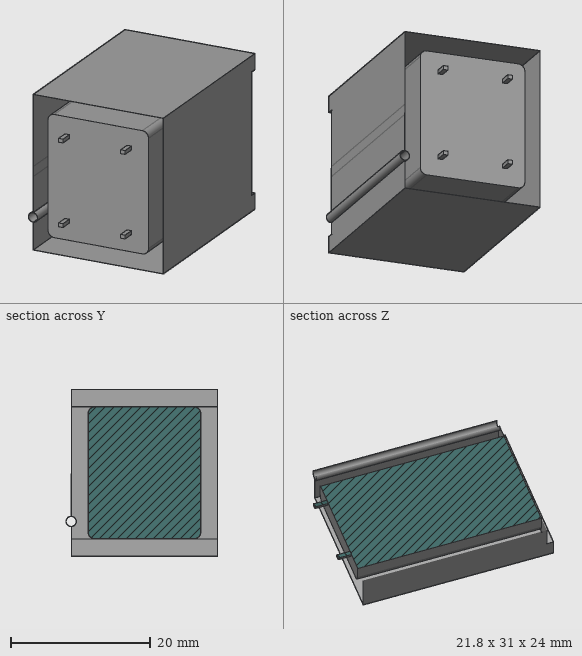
import cadquery as cq

CASE_WIDTH = 21.0
CASE_HEIGHT = 24.0
CASE_LENGTH = 29.0
WALL = 0.03

FOOT_HEIGHT = 2.5
FOOT_DEPTH = 1.0

CORE_MARGIN = 2.4
CORE_FILLET = 1.0

FLAP_OFFSET = 0.03
FLAP_RAMP_TOP = 12.85
FLAP_RAMP_BOTTOM = 11.28
BEAD_DIAMETER = 1.5
BEAD_HEIGHT = 5.02

PIN_WIDTH = 0.7
PIN_HEIGHT = 0.6
PIN_LENGTH = 2.0
PIN_SPACING_X = 10.0
PIN_SPACING_Z = 13.02

PANEL_BACK = CASE_LENGTH - FOOT_DEPTH
PANEL_HEIGHT = CASE_HEIGHT - 2 * FOOT_HEIGHT
MID_X = CASE_WIDTH / 2
MID_Z = CASE_HEIGHT / 2
BEAD_RADIUS = BEAD_DIAMETER / 2


def box(x_min, x_max, y_min, y_max, z_min, z_max):
    """Box between the given limits."""
    size = (x_max - x_min, y_max - y_min, z_max - z_min)
    return cq.Workplane("XY").box(*size, centered=False).translate((x_min, y_min, z_min))


def make_case():
    """Thin-walled box whose back panel steps out into a hollow foot at top and bottom."""
    outside = box(0, CASE_WIDTH, 0, CASE_LENGTH, 0, CASE_HEIGHT)
    slot = box(0, CASE_WIDTH, PANEL_BACK, CASE_LENGTH, FOOT_HEIGHT, CASE_HEIGHT - FOOT_HEIGHT)
    cavity = box(WALL, CASE_WIDTH - WALL, 0, CASE_LENGTH - WALL, WALL, CASE_HEIGHT - WALL)
    panel_zone = box(
        0, CASE_WIDTH,
        PANEL_BACK - WALL, CASE_LENGTH,
        FOOT_HEIGHT - WALL, CASE_HEIGHT - FOOT_HEIGHT + WALL,
    )
    return outside.cut(slot).cut(cavity.cut(panel_zone))


def make_core():
    """Solid block with rounded long edges, from the front rim to the back panel."""
    core_width = CASE_WIDTH - 2 * CORE_MARGIN
    core = box(
        MID_X - core_width / 2, MID_X + core_width / 2,
        0, PANEL_BACK,
        MID_Z - PANEL_HEIGHT / 2, MID_Z + PANEL_HEIGHT / 2,
    )
    return core.edges("|Y").fillet(CORE_FILLET)


def extrude_back(sketch):
    """Extrude an XZ sketch from the front rim to the back of the panel."""
    return sketch.extrude(-PANEL_BACK)


def make_flap():
    """Skin that thickens the left wall outward between the ramp and the bead."""
    profile = [
        (0, FLAP_RAMP_TOP),
        (-FLAP_OFFSET, FLAP_RAMP_BOTTOM),
        (-FLAP_OFFSET, BEAD_HEIGHT),
        (WALL, BEAD_HEIGHT),
        (WALL, FLAP_RAMP_TOP),
    ]
    return extrude_back(cq.Workplane("XZ").polyline(profile).close())


def make_bead(radius):
    """Round bar along the left wall."""
    return extrude_back(cq.Workplane("XZ").center(-FLAP_OFFSET, BEAD_HEIGHT).circle(radius))


def make_housing():
    """Case, core, flap and hollow bead as one solid."""
    shell = make_case().union(make_core()).union(make_flap())
    shell = shell.union(make_bead(BEAD_RADIUS))
    return shell.cut(make_bead(BEAD_RADIUS - WALL))


def make_pin(x, z):
    """Rectangular pin standing on the core's front face."""
    return box(
        x - PIN_WIDTH / 2, x + PIN_WIDTH / 2,
        -PIN_LENGTH, 0,
        z - PIN_HEIGHT / 2, z + PIN_HEIGHT / 2,
    )


housing = make_housing()
pins = [
    make_pin(MID_X + side_x * PIN_SPACING_X / 2, MID_Z + side_z * PIN_SPACING_Z / 2)
    for side_x in (-1, 1)
    for side_z in (-1, 1)
]

result = cq.Compound.makeCompound([housing.val(), *[pin.val() for pin in pins]])